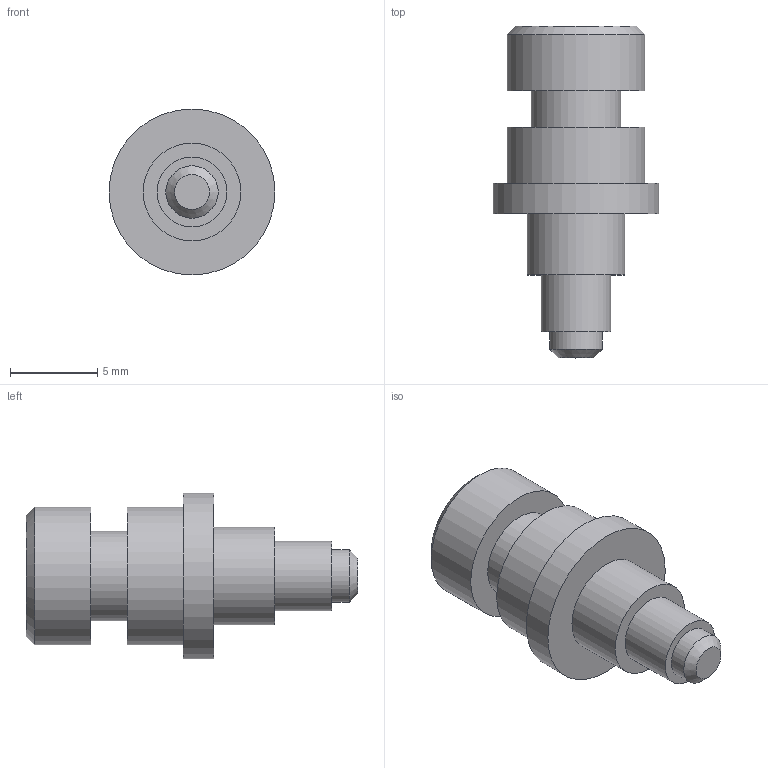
import cadquery as cq


flange_diameter = 9.5
head_diameter = 7.9
groove_diameter = 5.15
shoulder_diameter = 5.6
shank_diameter = 4.0
tip_diameter = 3.0

flange_length = 1.75
collar_length = 3.2
groove_length = 2.1
head_length = 3.7
shoulder_length = 3.5
shank_length = 3.25
tip_length = 1.5

head_chamfer = 0.5
tip_chamfer = 0.5


def cylinder(diameter, start_y, length):
    """Cylinder on the Y axis running from start_y toward +Y."""
    axis_plane = cq.Workplane("XZ", origin=(0, start_y, 0))
    return axis_plane.circle(diameter / 2).extrude(-length)


def stack(sections, start_y):
    """Join (diameter, length) sections end to end toward +Y."""
    body = cq.Workplane("XZ")
    y = start_y
    for diameter, length in sections:
        body = body.add(cylinder(diameter, y, length))
        y += length
    return body.combine()


front_sections = [
    (tip_diameter, tip_length),
    (shank_diameter, shank_length),
    (shoulder_diameter, shoulder_length),
]
rear_sections = [
    (flange_diameter, flange_length),
    (head_diameter, collar_length),
    (groove_diameter, groove_length),
    (head_diameter, head_length),
]
front_length = tip_length + shank_length + shoulder_length

result = stack(front_sections + rear_sections, -front_length)
result = result.faces(">Y").chamfer(head_chamfer)
result = result.faces("<Y").chamfer(tip_chamfer)